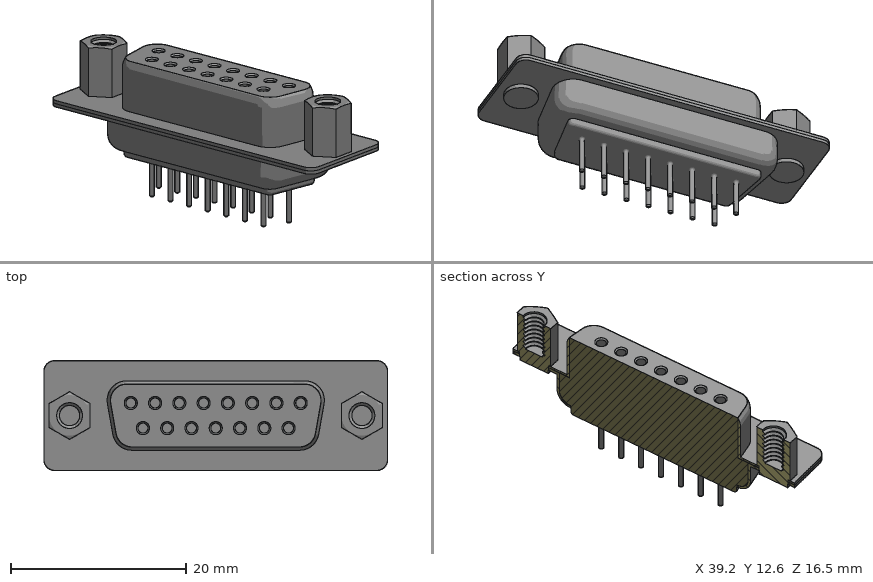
import cadquery as cq
import math


SHEET = 0.4
FLANGE_LENGTH = 39.2
FLANGE_WIDTH = 12.55
FLANGE_CORNER = 1.25
SIDE_SLOPE = math.radians(10)

SHROUD_HALF_WIDTH = 12.1
SHROUD_HALF_HEIGHT = 3.95
SHROUD_CORNER = 2.25
SHROUD_HEIGHT = 5.9
RIM_ROUND = 2.2
RIM_ROUND_HEIGHT = 1.2

TUB_HALF_WIDTH = 13.5
TUB_HALF_HEIGHT = 5.37
TUB_CORNER = 2.5
TUB_ROUND = 1.9
TUB_BOTTOM = -4.98
FLANGE_BOTTOM = -2 * SHEET

BLOCK_BOTTOM = -5.9
BLOCK_ROUND = 0.47
TOP_ROW_COUNT = 8
TOP_ROW_SPAN = 19.35
CONTACT_PITCH = TOP_ROW_SPAN / (TOP_ROW_COUNT - 1)
ROW_SPACING = 2.85
SOCKET_BORE = 1.15
SOCKET_MOUTH = 1.5
SOCKET_DEPTH = SHROUD_HEIGHT
PIN_DIAMETER = 0.6
PIN_BOTTOM = -10.6
PIN_ROOT_ROUND = 0.27
PIN_TIP_CHAMFER = 0.15

STANDOFF_X = 16.65
HEX_FLATS = 4.7
HEX_TOP_CIRCLE = 4.63
HEX_CHAMFER_HEIGHT = 0.1
SHANK_DIAMETER = 3.95
SHANK_BOTTOM = -1.3
THREAD_MAJOR = 2.95
THREAD_MINOR = 2.3
THREAD_PITCH = 0.63
THREAD_TURNS = 8
THREAD_CREST = 0.1
THREAD_LEAD_IN = 0.27


def d_prism(half_width, half_height, corner, z_bottom, z_top, inset=0.0):
    """Upright prism on a round-cornered D outline, moved inward by inset all round."""
    middle = half_width - inset / math.cos(SIDE_SLOPE)
    y_edge = half_height - inset
    lean = y_edge * math.tan(SIDE_SLOPE)
    outline = [
        (-middle - lean, y_edge),
        (middle + lean, y_edge),
        (middle - lean, -y_edge),
        (-middle + lean, -y_edge),
    ]
    base = cq.Workplane("XY").workplane(offset=z_bottom)
    prism = base.polyline(outline).close().extrude(z_top - z_bottom)
    return prism.edges("|Z").fillet(corner - inset)


def shroud_prism(z_bottom, z_top, inset=0.0):
    return d_prism(SHROUD_HALF_WIDTH, SHROUD_HALF_HEIGHT, SHROUD_CORNER, z_bottom, z_top, inset)


def tub_prism(z_bottom, z_top, inset=0.0):
    return d_prism(TUB_HALF_WIDTH, TUB_HALF_HEIGHT, TUB_CORNER, z_bottom, z_top, inset)


def tub_form(inset):
    """Rear tub with a rounded floor edge, its skin moved inward by inset."""
    tub = tub_prism(TUB_BOTTOM + inset, -SHEET, inset)
    return tub.faces("<Z").edges().fillet(TUB_ROUND - inset)


def block_prism(z_top):
    """Rear insulator block, which fills the flat floor of the tub."""
    return tub_prism(BLOCK_BOTTOM, z_top, TUB_ROUND)


def flange(z_bottom):
    plate = cq.Workplane("XY").workplane(offset=z_bottom).rect(FLANGE_LENGTH, FLANGE_WIDTH).extrude(SHEET)
    plate = plate.edges("|Z").fillet(FLANGE_CORNER)
    shank_holes = (
        cq.Workplane("XY").workplane(offset=z_bottom)
        .pushPoints([(-STANDOFF_X, 0), (STANDOFF_X, 0)])
        .circle(SHANK_DIAMETER / 2).extrude(SHEET)
    )
    return plate.cut(shank_holes)


def make_front_shell():
    dome_top = SHROUD_HEIGHT - RIM_ROUND_HEIGHT + RIM_ROUND
    shroud = shroud_prism(-SHEET, dome_top).faces(">Z").edges().fillet(RIM_ROUND)
    above_rim = (
        cq.Workplane("XY").workplane(offset=SHROUD_HEIGHT)
        .rect(FLANGE_LENGTH, FLANGE_WIDTH).extrude(RIM_ROUND)
    )
    shroud = shroud.cut(above_rim)
    return flange(-SHEET).union(shroud).cut(shroud_prism(-SHEET, SHROUD_HEIGHT, SHEET))


def make_rear_shell():
    shell = flange(FLANGE_BOTTOM).union(tub_form(0))
    return shell.cut(tub_form(SHEET)).cut(block_prism(-SHEET))


def contact_positions():
    """Upper row of contacts, and a lower row of one fewer set between them."""
    positions = []
    for count, y in ((TOP_ROW_COUNT, ROW_SPACING / 2), (TOP_ROW_COUNT - 1, -ROW_SPACING / 2)):
        first_x = -(count - 1) * CONTACT_PITCH / 2
        positions += [(first_x + index * CONTACT_PITCH, y) for index in range(count)]
    return positions


def socket_tool():
    """Flat-bottomed contact bore with a chamfered mouth."""
    bore = SOCKET_BORE / 2
    mouth = SOCKET_MOUTH / 2
    profile = [
        (0, SHROUD_HEIGHT),
        (mouth, SHROUD_HEIGHT),
        (bore, SHROUD_HEIGHT - (mouth - bore)),
        (bore, SHROUD_HEIGHT - SOCKET_DEPTH),
        (0, SHROUD_HEIGHT - SOCKET_DEPTH),
    ]
    return cq.Workplane("XZ").polyline(profile).close().revolve(360, (0, 0, 0), (0, 1, 0)).val()


def pin_form():
    """Pin that flares into the block at its root and is chamfered at its tip."""
    radius = PIN_DIAMETER / 2
    root = radius + PIN_ROOT_ROUND
    flare_middle = PIN_ROOT_ROUND * (1 - math.sqrt(0.5))
    profile = (
        cq.Workplane("XZ")
        .moveTo(0, BLOCK_BOTTOM)
        .lineTo(root, BLOCK_BOTTOM)
        .threePointArc(
            (radius + flare_middle, BLOCK_BOTTOM - flare_middle),
            (radius, BLOCK_BOTTOM - PIN_ROOT_ROUND),
        )
        .lineTo(radius, PIN_BOTTOM + PIN_TIP_CHAMFER)
        .lineTo(radius - PIN_TIP_CHAMFER, PIN_BOTTOM)
        .lineTo(0, PIN_BOTTOM)
        .close()
    )
    return profile.revolve(360, (0, 0, 0), (0, 1, 0)).val()


def make_insulator():
    core = shroud_prism(-SHEET, SHROUD_HEIGHT, SHEET)
    shoulder = tub_form(SHEET)
    block = block_prism(-SHEET).faces("<Z").edges().fillet(BLOCK_ROUND)
    body = core.union(shoulder).union(block)
    socket = socket_tool()
    pin = pin_form()
    for x, y in contact_positions():
        body = body.cut(cq.Workplane(socket.translate(cq.Vector(x, y, 0))))
        body = body.union(cq.Workplane(pin.translate(cq.Vector(x, y, 0))))
    return body


def hex_chamfer_cone():
    """Cone that trims the corners at the top of the hexagon."""
    top_radius = HEX_TOP_CIRCLE / 2
    corner_radius = HEX_FLATS / math.sqrt(3)
    slope = HEX_CHAMFER_HEIGHT / (corner_radius - top_radius)
    base_radius = top_radius + (SHROUD_HEIGHT - SHANK_BOTTOM) / slope
    profile = [
        (0, SHROUD_HEIGHT),
        (top_radius, SHROUD_HEIGHT),
        (base_radius, SHANK_BOTTOM),
        (0, SHANK_BOTTOM),
    ]
    return cq.Workplane("XZ").polyline(profile).close().revolve(360, (0, 0, 0), (0, 1, 0))


def threaded_bore():
    """Blind bore with a plain mouth and V-shaped ring grooves one pitch apart below it."""
    minor = THREAD_MINOR / 2
    major = THREAD_MAJOR / 2
    thread_top = SHROUD_HEIGHT - THREAD_LEAD_IN
    flank = (THREAD_PITCH - THREAD_CREST) / 2
    profile = [(0, SHROUD_HEIGHT), (major, SHROUD_HEIGHT)]
    for turn in range(THREAD_TURNS):
        root_z = thread_top - turn * THREAD_PITCH
        profile += [(major, root_z), (minor, root_z - flank), (minor, root_z - flank - THREAD_CREST)]
    bottom = thread_top - THREAD_TURNS * THREAD_PITCH + flank
    profile.append((0, bottom))
    return cq.Workplane("XZ").polyline(profile).close().revolve(360, (0, 0, 0), (0, 1, 0))


def make_standoff(x):
    hexagon = (
        cq.Workplane("XY").polygon(6, HEX_FLATS, circumscribed=True).extrude(SHROUD_HEIGHT)
        .intersect(hex_chamfer_cone())
    )
    shank = cq.Workplane("XY").circle(SHANK_DIAMETER / 2).extrude(SHANK_BOTTOM)
    return hexagon.union(shank).cut(threaded_bore()).translate((x, 0, 0))


front_shell = make_front_shell()
rear_shell = make_rear_shell()
insulator = make_insulator()
standoffs = [make_standoff(x) for x in (-STANDOFF_X, STANDOFF_X)]

result = cq.Compound.makeCompound(
    [
        front_shell.solids().val(),
        rear_shell.solids().val(),
        insulator.solids().val(),
        *[standoff.solids().val() for standoff in standoffs],
    ]
)